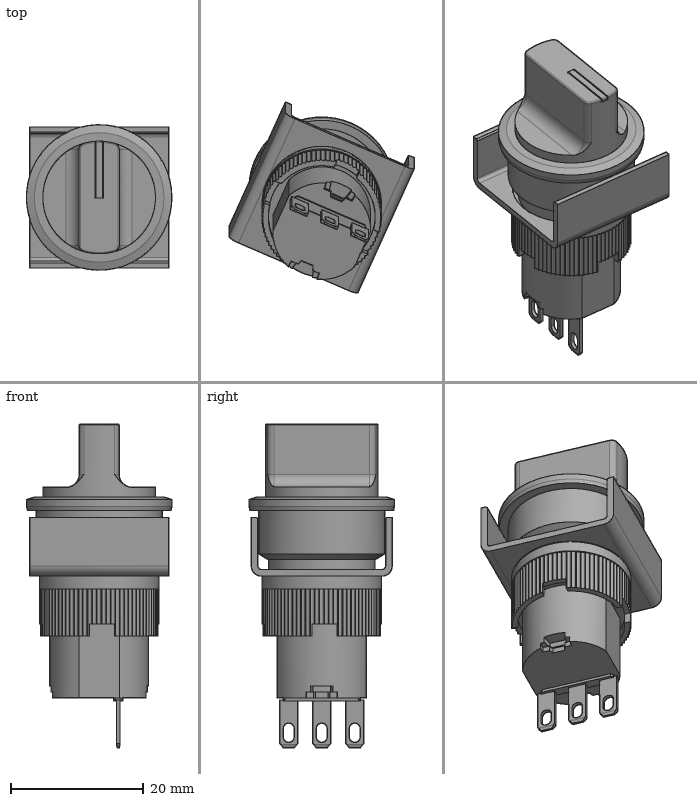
import cadquery as cq
import math


TOTAL_HEIGHT = 48.9
DISC_TOP = 39.35
FLANGE_TOP = 37.9
FLANGE_RIM_TOP = 37.5
FLANGE_RIM_BOTTOM = 36.5
FLANGE_BOTTOM = 35.85
BRACKET_TOP = 34.8
BARREL_BOTTOM = 29.3
BARREL_TAPER_BOTTOM = 28.4
NUT_TOP = 25.9
KNURL_TOP = 24.0
NOTCH_TOP = 18.7
NUT_BOTTOM = 16.9
BASE_BOTTOM = 7.55

KNOB_RADIUS = 8.5
GRIP_HALF_WIDTH = 3.05
GRIP_CORNER_RADIUS = 1.0
GRIP_COVE_RADIUS = 1.95
GRIP_TOP_FILLET = 0.2

MARKER_HALF_WIDTH = 0.5
MARKER_SLOT_HALF_WIDTH = 0.65
MARKER_DEPTH = 0.5
MARKER_START_Y = -0.1

FLANGE_RADIUS = 11.0
FLANGE_TOP_RADIUS = 9.8
FLANGE_BOTTOM_RADIUS = 10.85
BARREL_RADIUS = 9.55
NECK_RADIUS = 8.05

BRACKET_HALF_LENGTH = 10.5
BRACKET_HALF_WIDTH = 10.65
BRACKET_THICKNESS = 1.05
BRACKET_INNER_BEND = 0.55
BRACKET_HOLE_RADIUS = 8.9
BRACKET_LIP_CHAMFER = 0.25

NUT_RADIUS = 9.05
GROOVE_COUNT = 80
GROOVE_RADIUS = 0.35
GROOVE_AXIS_RADIUS = 9.2
NOTCH_COUNT = 4
NOTCH_WIDTH = 3.75
NOTCH_OFFSET = 0.45

BASE_HALF_LENGTH = 7.5
BASE_FLAT_Y = 6.75
BASE_FLAT_HALF_WIDTH = 3.05
POCKET_STEP_HEIGHT = 0.9
POCKET_TOTAL_HEIGHT = 1.8
WIDE_POCKET = (2.4, 2.3, 6.1)
WINDOW_POCKET = (1.7, 1.3, 5.6)
KEY_POCKET = (1.75, 0.95, 5.4)
FOOT_HALF_LENGTH = 5.8
FOOT_HALF_THICKNESS = 0.7
FOOT_HEIGHT = 0.5
FOOT_CHAMFER = 0.3

TERMINAL_X = 2.9
TERMINAL_SPACING = 5.0
TERMINAL_HALF_WIDTH = 1.35
TERMINAL_HALF_THICKNESS = 0.3
TERMINAL_TOP = 7.25
TIP_HALF_WIDTH = 0.85
TIP_HALF_THICKNESS = 0.15
TIP_CORNER_HEIGHT = 0.7
TIP_BEVEL_HEIGHT = 0.5
EYE_WIDTH = 1.6
EYE_BOTTOM = 0.85
EYE_TOP = 3.7


def cylinder(radius, bottom, top):
    return cq.Workplane("XY").workplane(offset=bottom).circle(radius).extrude(top - bottom)


def box(x_min, x_max, y_min, y_max, z_min, z_max):
    size = (x_max - x_min, y_max - y_min, z_max - z_min)
    return cq.Workplane("XY").box(*size, centered=False).translate((x_min, y_min, z_min))


def cove_profile(flank):
    """Outline of the material removed beside the grip; `flank` is the X of its side."""
    reach = flank + KNOB_RADIUS
    middle = GRIP_COVE_RADIUS * (1 - math.sqrt(0.5))
    return (
        cq.Workplane("XZ")
        .moveTo(flank, TOTAL_HEIGHT)
        .lineTo(flank, DISC_TOP + GRIP_COVE_RADIUS)
        .threePointArc((flank + middle, DISC_TOP + middle), (flank + GRIP_COVE_RADIUS, DISC_TOP))
        .lineTo(reach, DISC_TOP)
        .lineTo(reach, TOTAL_HEIGHT)
        .close()
    )


def make_grip_side_cutter():
    """Removes the +X side of the grip: a coved flank that runs round the two grip corners."""
    corner_x = GRIP_HALF_WIDTH - GRIP_CORNER_RADIUS
    corner_y = math.sqrt((KNOB_RADIUS - GRIP_CORNER_RADIUS) ** 2 - corner_x**2)
    corner_angle = math.degrees(math.atan2(corner_y, corner_x))
    flank = cove_profile(GRIP_HALF_WIDTH).extrude(corner_y, both=True)
    corner = (
        cove_profile(GRIP_CORNER_RADIUS)
        .revolve(corner_angle, (0, 0, 0), (0, 1, 0))
        .translate((corner_x, corner_y, 0))
    )
    return flank.union(corner).union(corner.mirror("XZ"))


def make_marker_prism(half_width):
    return box(-half_width, half_width, MARKER_START_Y, KNOB_RADIUS, TOTAL_HEIGHT - MARKER_DEPTH, TOTAL_HEIGHT)


def make_plain_knob():
    side_cutter = make_grip_side_cutter()
    knob = cylinder(KNOB_RADIUS, FLANGE_TOP, TOTAL_HEIGHT)
    knob = knob.cut(side_cutter).cut(side_cutter.mirror("YZ"))
    return knob.faces(">Z").edges().fillet(GRIP_TOP_FILLET)


def make_housing():
    return (
        cq.Workplane("XZ")
        .moveTo(0, FLANGE_TOP)
        .lineTo(FLANGE_TOP_RADIUS, FLANGE_TOP)
        .lineTo(FLANGE_RADIUS, FLANGE_RIM_TOP)
        .lineTo(FLANGE_RADIUS, FLANGE_RIM_BOTTOM)
        .lineTo(FLANGE_BOTTOM_RADIUS, FLANGE_BOTTOM)
        .lineTo(BARREL_RADIUS, FLANGE_BOTTOM)
        .lineTo(BARREL_RADIUS, BARREL_BOTTOM)
        .lineTo(NECK_RADIUS, BARREL_TAPER_BOTTOM)
        .lineTo(NECK_RADIUS, NOTCH_TOP)
        .lineTo(0, NOTCH_TOP)
        .close()
        .revolve(360, (0, 0, 0), (0, 1, 0))
    )


def make_bracket():
    """Flat floor with two upright walls, bent along X."""
    length = BRACKET_HALF_LENGTH
    outside = box(-length, length, -BRACKET_HALF_WIDTH, BRACKET_HALF_WIDTH, NUT_TOP, BRACKET_TOP)
    outside = outside.faces("<Z").edges("|X").fillet(BRACKET_INNER_BEND + BRACKET_THICKNESS)
    inner_width = BRACKET_HALF_WIDTH - BRACKET_THICKNESS
    floor = NUT_TOP + BRACKET_THICKNESS
    inside = box(-length, length, -inner_width, inner_width, floor, BRACKET_TOP)
    inside = inside.faces("<Z").edges("|X").fillet(BRACKET_INNER_BEND)
    lip_width = inner_width + BRACKET_LIP_CHAMFER
    lip_bottom = BRACKET_TOP - BRACKET_LIP_CHAMFER
    lip_flare = (
        cq.Workplane("YZ")
        .polyline([
            (-lip_width, BRACKET_TOP),
            (lip_width, BRACKET_TOP),
            (inner_width, lip_bottom),
            (-inner_width, lip_bottom),
        ])
        .close()
        .extrude(length, both=True)
    )
    hole = cylinder(BRACKET_HOLE_RADIUS, NUT_TOP, BRACKET_TOP)
    return outside.cut(inside).cut(lip_flare).cut(hole)


def make_nut():
    """Ring with a plain collar above a grooved skirt that has notches in its lower rim."""
    nut = cylinder(NUT_RADIUS, NUT_BOTTOM, NUT_TOP).cut(cylinder(NECK_RADIUS, NUT_BOTTOM, NUT_TOP))
    grooves = (
        cq.Workplane("XY")
        .workplane(offset=NUT_BOTTOM)
        .polarArray(GROOVE_AXIS_RADIUS, 0, 360, GROOVE_COUNT, rotate=False)
        .circle(GROOVE_RADIUS)
        .extrude(KNURL_TOP - NUT_BOTTOM)
    )
    nut = nut.cut(grooves)
    notch = box(
        0, NUT_RADIUS,
        NOTCH_OFFSET - NOTCH_WIDTH / 2, NOTCH_OFFSET + NOTCH_WIDTH / 2,
        NUT_BOTTOM, NOTCH_TOP,
    )
    for i in range(NOTCH_COUNT):
        nut = nut.cut(notch.rotate((0, 0, 0), (0, 0, 1), i * 360 / NOTCH_COUNT))
    return nut


def make_side_pocket(pocket, bottom, top):
    """Pocket in the +X side of the base that narrows towards its back wall."""
    mouth_half_width, back_half_width, back_x = pocket
    return (
        cq.Workplane("XY")
        .workplane(offset=bottom)
        .polyline([
            (back_x, -back_half_width),
            (BASE_HALF_LENGTH, -mouth_half_width),
            (BASE_HALF_LENGTH, mouth_half_width),
            (back_x, back_half_width),
        ])
        .close()
        .extrude(top - bottom)
    )


def make_terminal(y):
    outline = (
        cq.Workplane("YZ")
        .polyline([
            (-TIP_HALF_WIDTH, 0),
            (TIP_HALF_WIDTH, 0),
            (TERMINAL_HALF_WIDTH, TIP_CORNER_HEIGHT),
            (TERMINAL_HALF_WIDTH, TERMINAL_TOP),
            (-TERMINAL_HALF_WIDTH, TERMINAL_TOP),
            (-TERMINAL_HALF_WIDTH, TIP_CORNER_HEIGHT),
        ])
        .close()
        .extrude(TERMINAL_HALF_THICKNESS, both=True)
    )
    edge_profile = (
        cq.Workplane("XZ")
        .polyline([
            (-TIP_HALF_THICKNESS, 0),
            (TIP_HALF_THICKNESS, 0),
            (TERMINAL_HALF_THICKNESS, TIP_BEVEL_HEIGHT),
            (TERMINAL_HALF_THICKNESS, TERMINAL_TOP),
            (-TERMINAL_HALF_THICKNESS, TERMINAL_TOP),
            (-TERMINAL_HALF_THICKNESS, TIP_BEVEL_HEIGHT),
        ])
        .close()
        .extrude(TERMINAL_HALF_WIDTH, both=True)
    )
    eye = (
        cq.Workplane("YZ")
        .center(0, (EYE_BOTTOM + EYE_TOP) / 2)
        .slot2D(EYE_TOP - EYE_BOTTOM, EYE_WIDTH, 90)
        .extrude(TERMINAL_HALF_THICKNESS, both=True)
    )
    return outline.intersect(edge_profile).cut(eye).translate((TERMINAL_X, y, 0))


def make_base(terminals):
    """Contact body with pockets in both ends and a foot strip that holds the terminals."""
    base = (
        cq.Workplane("XY")
        .workplane(offset=BASE_BOTTOM)
        .moveTo(-BASE_FLAT_HALF_WIDTH, -BASE_FLAT_Y)
        .lineTo(BASE_FLAT_HALF_WIDTH, -BASE_FLAT_Y)
        .threePointArc((BASE_HALF_LENGTH, 0), (BASE_FLAT_HALF_WIDTH, BASE_FLAT_Y))
        .lineTo(-BASE_FLAT_HALF_WIDTH, BASE_FLAT_Y)
        .threePointArc((-BASE_HALF_LENGTH, 0), (-BASE_FLAT_HALF_WIDTH, -BASE_FLAT_Y))
        .close()
        .extrude(NOTCH_TOP - BASE_BOTTOM)
    )
    step = BASE_BOTTOM + POCKET_STEP_HEIGHT
    pockets = (
        make_side_pocket(WIDE_POCKET, BASE_BOTTOM, step)
        .union(make_side_pocket(KEY_POCKET, BASE_BOTTOM, step))
        .union(make_side_pocket(WINDOW_POCKET, step, BASE_BOTTOM + POCKET_TOTAL_HEIGHT))
    )
    base = base.cut(pockets).cut(pockets.mirror("YZ"))
    foot = box(
        TERMINAL_X - FOOT_HALF_THICKNESS, TERMINAL_X + FOOT_HALF_THICKNESS,
        -FOOT_HALF_LENGTH, FOOT_HALF_LENGTH,
        BASE_BOTTOM - FOOT_HEIGHT, BASE_BOTTOM,
    )
    base = base.union(foot.edges("|Z").chamfer(FOOT_CHAMFER))
    for terminal in terminals:
        base = base.cut(terminal)
    return base


plain_knob = make_plain_knob()
marker = plain_knob.intersect(make_marker_prism(MARKER_HALF_WIDTH))
knob = plain_knob.cut(make_marker_prism(MARKER_SLOT_HALF_WIDTH))
housing = make_housing()
bracket = make_bracket()
nut = make_nut()
terminals = [make_terminal(i * TERMINAL_SPACING) for i in (-1, 0, 1)]
base = make_base(terminals)

result = cq.Compound.makeCompound([
    knob.val(),
    marker.val(),
    housing.val(),
    bracket.val(),
    nut.val(),
    base.val(),
    *[terminal.val() for terminal in terminals],
])